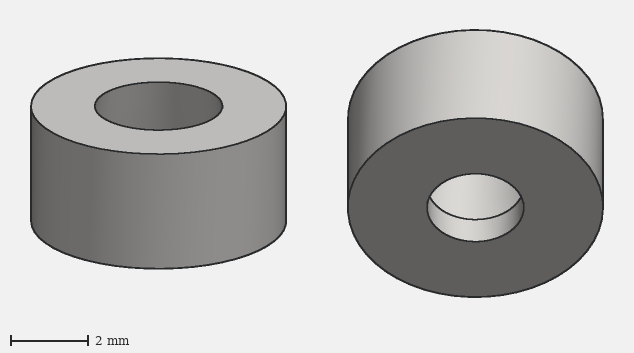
import cadquery as cq

outer_diameter = 6.6
height = 3.2
mouth_diameter = outer_diameter / 2
recess_floor_diameter = 4.16
recess_depth = 2.4
bore_diameter = 2.5

outer_radius = outer_diameter / 2
mouth_radius = mouth_diameter / 2
recess_floor_radius = recess_floor_diameter / 2
bore_radius = bore_diameter / 2
recess_floor_height = height - recess_depth

half_section = (
    cq.Workplane("XZ")
    .moveTo(bore_radius, 0)
    .lineTo(outer_radius, 0)
    .lineTo(outer_radius, height)
    .lineTo(mouth_radius, height)
    .lineTo(recess_floor_radius, recess_floor_height)
    .lineTo(bore_radius, recess_floor_height)
    .close()
)

result = half_section.revolve(360, (0, 0, 0), (0, 1, 0))